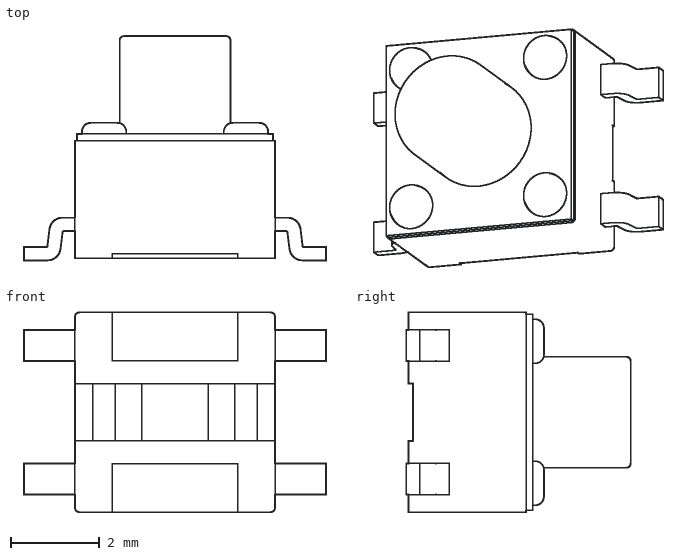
import cadquery as cq
import math

housing_side = 4.5
housing_depth = 2.65
housing_corner_radius = 0.1

cover_side = 4.42
cover_thickness = 0.15

button_diameter = 2.5
button_length = 2.2
button_edge_radius = 0.1

rivet_diameter = 1.0
rivet_height = 0.25
rivet_edge_radius = 0.205
rivet_offset = 1.6

terminal_span = 6.8
terminal_width = 0.7
terminal_thickness = 0.305
terminal_offset = 1.5
terminal_rise = 0.965
foot_length = 0.525
foot_drop = 0.05
leg_lean = 7.0
bend_inner_radius = 0.02
bend_outer_radius = 0.3

pocket_width = 2.815
pocket_height = 1.09
pocket_depth = 0.1
channel_height = 1.285
channel_depth = 0.1
center_recess_width = 1.495
center_recess_depth = 0.17
slot_inner_x = 1.345
slot_outer_x = 1.855
slot_depth = 0.22

cover_back = housing_depth + cover_thickness


def block(width, height, y_start, y_end, x=0, z=0):
    """Box centred on (x, z) that spans y_start to y_end."""
    depth = y_end - y_start
    return cq.Workplane("XY").box(width, depth, height).translate((x, y_start + depth / 2, z))


def disc(diameter, length, edge_radius, x=0, z=0):
    """Cylinder standing on the back of the cover, with a rounded end."""
    return (
        cq.Workplane("XZ", origin=(x, cover_back, z))
        .circle(diameter / 2)
        .extrude(-length)
        .faces(">Y")
        .edges()
        .fillet(edge_radius)
    )


def make_housing():
    housing = block(housing_side, housing_side, 0, housing_depth)
    return housing.edges("|Y").fillet(housing_corner_radius)


def cut_recesses(body):
    pocket_z = (housing_side - pocket_height) / 2
    for side in (-1, 1):
        body = body.cut(block(pocket_width, pocket_height, 0, pocket_depth, z=side * pocket_z))

    body = body.cut(block(housing_side, channel_height, 0, channel_depth))
    body = body.cut(block(center_recess_width, channel_height, 0, center_recess_depth))
    slot_width = slot_outer_x - slot_inner_x
    slot_x = (slot_outer_x + slot_inner_x) / 2
    for side in (-1, 1):
        body = body.cut(block(slot_width, channel_height, 0, slot_depth, x=side * slot_x))
    return body


def make_terminal(z):
    """S-bent strip on the +X side, centred at height z."""
    tip_x = terminal_span / 2
    wall_x = housing_side / 2
    foot_low = -foot_drop
    foot_high = foot_low + terminal_thickness
    shank_high = foot_low + terminal_rise
    shank_low = shank_high - terminal_thickness

    slope = math.tan(math.radians(leg_lean))
    leg_width = terminal_thickness / math.cos(math.radians(leg_lean))
    heel_x = tip_x - foot_length

    def outer_x(y):
        return heel_x - (y - foot_high) * slope

    def inner_x(y):
        return outer_x(y) - leg_width

    foot_inside = (heel_x, foot_high)
    foot_outside = (inner_x(foot_low), foot_low)
    shank_inside = (inner_x(shank_low), shank_low)
    shank_outside = (outer_x(shank_high), shank_high)
    strip = (
        cq.Workplane("XY", origin=(0, 0, z - terminal_width / 2))
        .polyline(
            [
                (wall_x, shank_low),
                shank_inside,
                foot_outside,
                (tip_x, foot_low),
                (tip_x, foot_high),
                foot_inside,
                shank_outside,
                (wall_x, shank_high),
            ]
        )
        .close()
        .extrude(terminal_width)
    )

    def bend_edges(points):
        selector = cq.selectors.NearestToPointSelector
        edges = strip.edges("|Z")
        picked = [edges.edges(selector((x, y, z))).val() for x, y in points]
        return strip.newObject(picked)

    strip = bend_edges([foot_inside, shank_inside]).fillet(bend_inner_radius)
    return bend_edges([foot_outside, shank_outside]).fillet(bend_outer_radius)


result = cut_recesses(make_housing())
result = result.union(block(cover_side, cover_side, housing_depth, cover_back))
result = result.union(disc(button_diameter, button_length, button_edge_radius))

for x_side in (-1, 1):
    for z_side in (-1, 1):
        rivet_x = x_side * rivet_offset
        rivet_z = z_side * rivet_offset
        rivet = disc(rivet_diameter, rivet_height, rivet_edge_radius, rivet_x, rivet_z)
        result = result.union(rivet)

for z_side in (-1, 1):
    terminal = make_terminal(z_side * terminal_offset)
    result = result.union(terminal).union(terminal.mirror("YZ"))